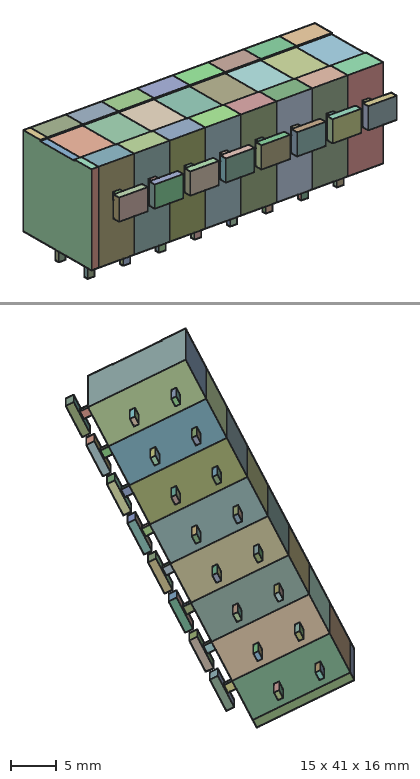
import cadquery as cq


ROW_LENGTH = 41.0
MODULE_COUNT = 8
END_PLATE_THICKNESS = 1.0
MODULE_PITCH = (ROW_LENGTH - END_PLATE_THICKNESS) / MODULE_COUNT

HOUSING_WIDTH = 12.0
HOUSING_HEIGHT = 12.5
RECESS_WIDTH = HOUSING_WIDTH / 2
RECESS_DEPTH = 0.15

PIN_THICKNESS = 0.6
PIN_WIDTH = 1.0
PIN_LENGTH = 3.5
PIN_SPACING = 5.1
FIRST_PIN_X = 2.65
PIN_OFFSET_Y = 2.15

STEM_SIDE = 1.0
STEM_LENGTH = 2.0
HEAD_THICKNESS = 1.0
HEAD_WIDTH = 4.0
HEAD_HEIGHT = 3.0
LEVER_DROP = 4.25


def housing_block(start_y, length):
    """Block with a shallow recess along the middle of its top face."""
    block = cq.Workplane("XY").box(HOUSING_WIDTH, length, HOUSING_HEIGHT, centered=False)
    recess = (
        cq.Workplane("XY")
        .box(RECESS_WIDTH, length, RECESS_DEPTH, centered=False)
        .translate(((HOUSING_WIDTH - RECESS_WIDTH) / 2, 0, HOUSING_HEIGHT - RECESS_DEPTH))
    )
    return block.cut(recess).translate((0, start_y, 0))


def solder_pin(x, y):
    """Flat pin hanging from the housing underside."""
    return (
        cq.Workplane("XY")
        .center(x, y)
        .rect(PIN_THICKNESS, PIN_WIDTH)
        .extrude(-PIN_LENGTH)
    )


def lever(y):
    """T-shaped lever standing out from the +X face."""
    axis_z = HOUSING_HEIGHT - LEVER_DROP
    face = cq.Workplane("YZ", origin=(HOUSING_WIDTH, y, axis_z))
    stem = face.rect(STEM_SIDE, STEM_SIDE).extrude(STEM_LENGTH)
    head = face.workplane(offset=STEM_LENGTH).rect(HEAD_WIDTH, HEAD_HEIGHT).extrude(HEAD_THICKNESS)
    return stem.union(head)


def terminal_module(start_y):
    """One module: housing, two pins and a lever as a single solid."""
    module = housing_block(start_y, MODULE_PITCH)
    for pin_x in (FIRST_PIN_X, FIRST_PIN_X + PIN_SPACING):
        module = module.union(solder_pin(pin_x, start_y + PIN_OFFSET_Y))
    return module.union(lever(start_y + MODULE_PITCH / 2))


end_plate = housing_block(0, END_PLATE_THICKNESS)

modules = [
    terminal_module(END_PLATE_THICKNESS + index * MODULE_PITCH)
    for index in range(MODULE_COUNT)
]

result = cq.Compound.makeCompound([end_plate.val(), *[module.val() for module in modules]])